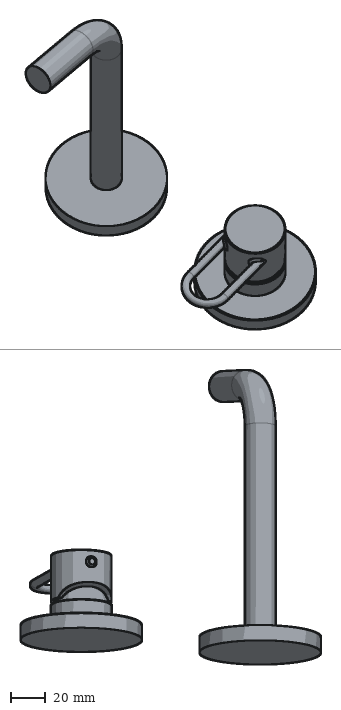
import cadquery as cq
import math


flange_radius = 35.0
flange_height = 9.0
valve_flange_chamfer = 0.5
valve_x = 109.0

tube_radius = 9.0
overall_height = 177.08
front_reach = 64.78
outlet_tilt = math.radians(10.0)
outlet_length = 40.0

stub_radius = 17.6
stub_top = 20.5
stub_chamfer = 0.5
neck_bottom_radius = 16.2
neck_top_radius = 12.7
neck_top = 32.0

cap_radius = 17.5
cap_bottom = 22.5
cap_rim = 49.6
cap_crown = 50.1
cap_chamfer = 0.5

relief_radius = 24.5
relief_y = 25.8
relief_z = 7.5

lever_z = 40.65
lever_rod_radius = 2.5
lever_bend_radius = 12.5
lever_bend_y = -44.0
lever_root_y = -8.0
pad_dome_radius = 5.6
pad_peak_distance = 19.3
pad_angle = 41.0

button_radius = 3.2
button_chamfer = 1.3
button_z = 42.5
button_face_distance = 18.9


def make_flange():
    return cq.Workplane("XY").circle(flange_radius).extrude(flange_height)


def make_spout():
    """Flange and tube: upright, bent forward, with a slightly rising outlet."""
    sin_tilt = math.sin(outlet_tilt)
    cos_tilt = math.cos(outlet_tilt)

    tip_y = -(front_reach - tube_radius * sin_tilt)
    tip_z = overall_height - tube_radius * cos_tilt
    bend_end_y = tip_y + outlet_length * cos_tilt
    bend_end_z = tip_z - outlet_length * sin_tilt
    bend_radius = -bend_end_y / (1 - sin_tilt)
    bend_start_z = bend_end_z - bend_radius * cos_tilt

    half_bend = (math.pi / 2 - outlet_tilt) / 2
    bend_middle = (
        -bend_radius * (1 - math.cos(half_bend)),
        bend_start_z + bend_radius * math.sin(half_bend),
    )
    path = (
        cq.Workplane("YZ")
        .moveTo(0, flange_height)
        .lineTo(0, bend_start_z)
        .threePointArc(bend_middle, (bend_end_y, bend_end_z))
        .lineTo(tip_y, tip_z)
    )
    tube = cq.Workplane("XY", origin=(0, 0, flange_height)).circle(tube_radius).sweep(path)
    return make_flange().union(tube)


def make_valve_body():
    """Flange, stub and tapered neck, centred on the Z axis."""
    flange = make_flange().faces(">Z").chamfer(valve_flange_chamfer)
    stub = (
        cq.Workplane("XY", origin=(0, 0, flange_height))
        .circle(stub_radius)
        .extrude(stub_top - flange_height)
        .faces(">Z")
        .chamfer(stub_chamfer)
    )
    return flange.union(stub).union(make_neck())


def make_neck():
    """Truncated cone, also used to cut the matching recess in the cap."""
    return (
        cq.Workplane("XZ")
        .moveTo(0, stub_top)
        .lineTo(neck_bottom_radius, stub_top)
        .lineTo(neck_top_radius, neck_top)
        .lineTo(0, neck_top)
        .close()
        .revolve(360, (0, 0, 0), (0, 1, 0))
    )


def make_cap_shell():
    """Cap with a shallow spherical crown and a small chamfer at its rim."""
    crown_edge_radius = cap_radius - cap_chamfer
    crown_rise = cap_crown - cap_rim
    sphere_radius = (crown_edge_radius**2 + crown_rise**2) / (2 * crown_rise)
    middle_radius = crown_edge_radius / 2
    middle_z = cap_crown - sphere_radius + math.sqrt(sphere_radius**2 - middle_radius**2)
    return (
        cq.Workplane("XZ")
        .moveTo(0, cap_bottom)
        .lineTo(cap_radius, cap_bottom)
        .lineTo(cap_radius, cap_rim - cap_chamfer)
        .lineTo(crown_edge_radius, cap_rim)
        .threePointArc((middle_radius, middle_z), (0, cap_crown))
        .close()
        .revolve(360, (0, 0, 0), (0, 1, 0))
    )


def make_relief():
    return (
        cq.Workplane("YZ")
        .center(relief_y, relief_z)
        .circle(relief_radius)
        .extrude(cap_radius, both=True)
    )


def make_lever():
    """U-shaped round rod whose two legs run into the front of the cap."""
    path = (
        cq.Workplane("XY", origin=(0, 0, lever_z))
        .moveTo(-lever_bend_radius, lever_root_y)
        .lineTo(-lever_bend_radius, lever_bend_y)
        .threePointArc(
            (0, lever_bend_y - lever_bend_radius),
            (lever_bend_radius, lever_bend_y),
        )
        .lineTo(lever_bend_radius, lever_root_y)
    )
    root = (-lever_bend_radius, lever_root_y, lever_z)
    return cq.Workplane("XZ", origin=root).circle(lever_rod_radius).sweep(path)


def make_pad(side):
    """Shallow domed pad on the front of the cap; side is -1 for -X and 1 for +X."""
    angle = math.radians(side * pad_angle)
    center_distance = pad_peak_distance - pad_dome_radius
    center = (center_distance * math.sin(angle), -center_distance * math.cos(angle), lever_z)
    return cq.Workplane("XY").sphere(pad_dome_radius).translate(center)


def make_button():
    return (
        cq.Workplane("XZ", origin=(0, 0, button_z))
        .circle(button_radius)
        .extrude(-button_face_distance)
        .faces(">Y")
        .chamfer(button_chamfer)
    )


def make_handle():
    """Cap, lever loop, pads and button as one piece, centred on the Z axis."""
    cap = make_cap_shell().cut(make_relief()).cut(make_neck())
    handle = cap.union(make_button()).union(make_lever())
    for side in (-1, 1):
        handle = handle.union(make_pad(side))
    return handle


spout = make_spout()
valve_body = make_valve_body().translate((valve_x, 0, 0))
handle = make_handle().translate((valve_x, 0, 0))

result = cq.Compound.makeCompound([spout.val(), valve_body.val(), handle.val()])